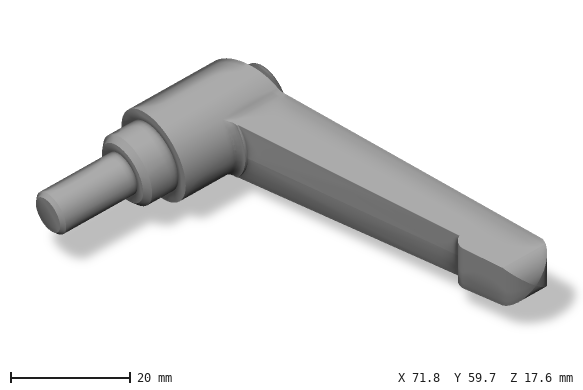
import cadquery as cq
import math


hub_radius = 8.8
hub_left_height = 17.95
collar_radius = 6.75
collar_length = 6.6
collar_chamfer = 1.1
stud_radius = 8.1 / 2
stud_end = 22.4
stud_chamfer = 0.7
cap_radius = 11.1 / 2
cap_top = 24.55
cap_round = 1.1

top_angle = 16
under_angle = 20
top_slope = math.tan(math.radians(top_angle))
under_slope = math.tan(math.radians(under_angle))
overall_top = 37.3
arm_end = 71.8 - hub_radius
tip_radius = 4.75
tip_start = 59.75
arm_root = 7.2
root_half_width = 12.85 / 2
tip_half_width = 4.6
side_fillet = 1.7
under_fillet = 1.3
under_fillet_base = 10.35

stop_x = 49.7
stop_y = 26.5
stop_radius = 2.3
stop_center_x = 51.8
stop_center_y = 27.4
stop_middle_angle = -115
ridge_start = 5.75
ridge_depth = 0.6
ridge_end_depth = 0.035
ridge_overlap = 0.7


def cylinder(radius, bottom, top):
    """Cylinder on the hub axis from y = bottom to y = top."""
    return cq.Workplane("XZ", origin=(0, bottom, 0)).circle(radius).extrude(bottom - top)


def top_height(x):
    return hub_left_height + top_slope * (x + hub_radius)


def half_width(x):
    taper = (root_half_width - tip_half_width) / (tip_start - arm_root)
    return root_half_width - taper * (x - arm_root)


edge_slope = under_slope - ridge_depth / (stop_x - ridge_start)


def edge_height(x):
    return stop_y - edge_slope * (stop_x - x)


def point_on_circle(center_x, center_y, radius, degrees):
    angle = math.radians(degrees)
    return (center_x + radius * math.cos(angle), center_y + radius * math.sin(angle))


def make_hub():
    hub = cylinder(hub_radius, 0, overall_top)
    below_slant = (
        cq.Workplane("XY")
        .moveTo(-hub_radius, 0)
        .lineTo(-hub_radius, top_height(-hub_radius))
        .lineTo(hub_radius, top_height(hub_radius))
        .lineTo(hub_radius, 0)
        .close()
        .extrude(hub_radius, both=True)
    )
    cap = cylinder(cap_radius, 0, cap_top).faces(">Y").edges().fillet(cap_round)
    collar = cylinder(collar_radius, -collar_length, 0).faces("<Y").chamfer(collar_chamfer)
    stud = cylinder(stud_radius, -stud_end, 0).faces("<Y").chamfer(stud_chamfer)
    return hub.intersect(below_slant).union(cap).union(collar).union(stud)


def make_plan():
    """Tapered arm outline, blended into the hub circle, as a prism along Y."""
    arm = (
        cq.Workplane("XZ")
        .moveTo(0, -half_width(0))
        .lineTo(tip_start, -tip_half_width)
        .threePointArc((arm_end, 0), (tip_start, tip_half_width))
        .lineTo(0, half_width(0))
        .close()
        .extrude(-overall_top)
    )
    plan = arm.union(cylinder(hub_radius, 0, overall_top))
    corners = cq.selectors.BoxSelector(
        (cap_radius, 0, -hub_radius), (arm_root, overall_top, hub_radius)
    )
    return plan.edges("|Y").edges(corners).fillet(side_fillet)


def make_profile():
    """Arm outline with the round tip and finger stop, extruded along Z."""
    tip_y = overall_top - tip_radius
    top_end_x = (overall_top - hub_left_height) / top_slope - hub_radius
    stop_tangent = point_on_circle(stop_center_x, stop_center_y, stop_radius, under_angle - 90)
    stop_middle = point_on_circle(stop_center_x, stop_center_y, stop_radius, stop_middle_angle)
    under_tip_y = stop_tangent[1] + under_slope * (tip_start - stop_tangent[0])
    return (
        cq.Workplane("XY")
        .moveTo(0, edge_height(0))
        .lineTo(0, top_height(0))
        .lineTo(top_end_x, overall_top)
        .threePointArc((arm_end, tip_y), (tip_start, under_tip_y))
        .lineTo(*stop_tangent)
        .threePointArc(stop_middle, (stop_x, stop_y))
        .close()
        .extrude(hub_radius, both=True)
    )


def make_ridge():
    """Shallow V under the arm that fades out towards the finger stop."""
    def section(x, depth):
        edge_y = edge_height(x)
        width = half_width(x)
        return cq.Wire.makePolygon(
            [
                cq.Vector(x, edge_y + ridge_overlap, -width),
                cq.Vector(x, edge_y, -width),
                cq.Vector(x, edge_y - depth, 0),
                cq.Vector(x, edge_y, width),
                cq.Vector(x, edge_y + ridge_overlap, width),
            ],
            close=True,
        )

    sections = [section(ridge_start, ridge_depth), section(stop_x, ridge_end_depth)]
    return cq.Workplane(cq.Solid.makeLoft(sections, True))


def make_under_fillet():
    """Concave ring around the hub that fills the corner below the arm."""
    outer = hub_radius + under_fillet
    high = under_fillet_base + under_fillet
    bend = point_on_circle(outer, under_fillet_base, under_fillet, 135)
    return (
        cq.Workplane("XY")
        .moveTo(0, under_fillet_base)
        .lineTo(hub_radius, under_fillet_base)
        .threePointArc(bend, (outer, high))
        .lineTo(outer, edge_height(outer))
        .lineTo(0, edge_height(outer))
        .close()
        .revolve(360, (0, 0, 0), (0, 1, 0))
    )


plan = make_plan()
arm = make_profile().union(make_ridge()).union(make_under_fillet()).intersect(plan)
result = make_hub().union(arm)